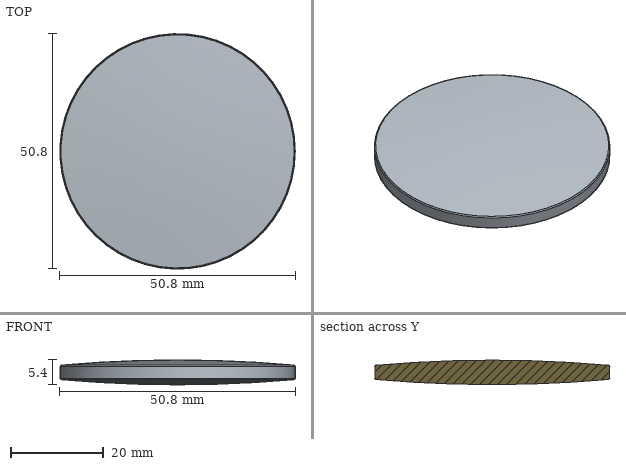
import cadquery as cq

diameter = 50.8
center_thickness = 5.4
edge_thickness = 3.15
bevel_width = 0.25
bevel_height = 0.25

rim_radius = diameter / 2
dome_radius = rim_radius - bevel_width
center_height = center_thickness / 2
edge_height = edge_thickness / 2
rim_height = edge_height - bevel_height

dome_rise = center_height - edge_height
sphere_radius = (dome_radius**2 + dome_rise**2) / (2 * dome_rise)
mid_radius = dome_radius / 2
mid_drop = sphere_radius - (sphere_radius**2 - mid_radius**2) ** 0.5
mid_height = center_height - mid_drop

half_section = (
    cq.Workplane("XZ")
    .moveTo(0, -center_height)
    .threePointArc((mid_radius, -mid_height), (dome_radius, -edge_height))
    .lineTo(rim_radius, -rim_height)
    .lineTo(rim_radius, rim_height)
    .lineTo(dome_radius, edge_height)
    .threePointArc((mid_radius, mid_height), (0, center_height))
    .close()
)
result = half_section.revolve(360, (0, 0, 0), (0, 1, 0))